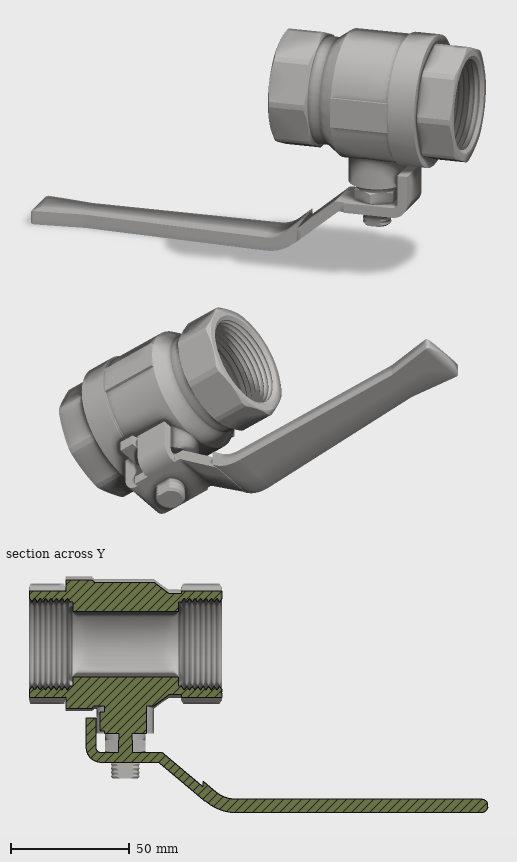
import cadquery as cq
import math


LEFT_END = -41.0
LEFT_NUT_END = -23.5
CONE_START = -18.4
BARREL_START = -12.1
COLLAR_START = 14.0
COLLAR_END = 25.4
RIGHT_END = 40.8
NECK_RADIUS = 23.0
BARREL_RADIUS = 27.5
COLLAR_RADIUS = 28.5
LIP_WIDTH = 0.7
LIP_RADIUS = 28.0
PAD_REACH = 28.0
PAD_HEIGHT = 13.0

OCTAGON_SIDES = 8
OCTAGON_FLATS = 48.0
OCTAGON_CORNER_RADIUS = 25.5
OCTAGON_FACE_RADIUS = 23.7
LONG_CHAMFER = 1.1
SHORT_CHAMFER = 0.5

PORT_RADIUS = 16.0
PIPE_MINOR_RADIUS = 19.475
PIPE_MAJOR_RADIUS = 20.955
PIPE_PITCH = 2.309
PIPE_THREAD_TURNS = 8

BOSS_RADIUS = 12.1
BOSS_BOTTOM = -38.0
GLAND_RADIUS = 8.5
NUT_TOP = -40.8
NUT_SIDES = 6
NUT_FLATS = 17.0
NUT_CORNER_CHAMFER = 0.6
STEM_RADIUS = 6.1
STEM_ROOT_RADIUS = 5.7
STEM_PITCH = 1.75
STEM_FLATS = 9.8
STEM_BOTTOM = -57.1
STEM_TIP_CHAMFER = 0.9

PLATE_TOP = -45.9
PLATE_THICKNESS = 4.3
PLATE_START = -11.5
PLATE_FRONT = -10.9
PLATE_BACK = 11.2
TAB_TOP = -31.3
BEND_INNER_RADIUS = 2.2
END_TAB_OUTER = 16.8
END_TAB_BACK = 9.5
SIDE_TAB_OUTER = 17.9
SIDE_TAB_START = -11.0
SIDE_TAB_END = 3.5
ARM_ANGLE = 40.0
ARM_TOP_START = -15.6
ARM_ROOT_FRONT = -10.0
ARM_FRONT = -8.6
ARM_BACK = 10.7

LUG_START = 4.5
LUG_END = 11.0
LUG_REACH = 20.1
LUG_BOTTOM = -36.9
LUG_TIP_TOP = -31.9
LUG_ROOT = 8.0
LUG_ROOT_TOP = -28.6

GRIP_TIP = -153.68
GRIP_BOTTOM = -71.5
GRIP_THICKNESS = 5.9
GRIP_BEND_START = -46.8
GRIP_BEND_RADIUS = 13.4
GRIP_END = -32.7
GRIP_BACK = 12.2
GRIP_WAIST_BACK_X = -130.2
GRIP_WAIST_FRONT_X = -128.4
GRIP_WAIST_FRONT = -3.5
GRIP_END_FRONT = -9.6
FLARE_X = -152.2
FLARE_BACK = 15.8
FLARE_FRONT = -5.8
FLARE_CORNER_RADIUS = 1.3

PLATE_BOTTOM = PLATE_TOP - PLATE_THICKNESS
GRIP_TOP = GRIP_BOTTOM + GRIP_THICKNESS
OVERLAP = 1.0


def revolve_about_x(points):
    """Solid of revolution about X from (x, radius) points."""
    return cq.Workplane("XY").polyline(points).close().revolve(360, (0, 0, 0), (1, 0, 0))


def cylinder_down(radius, top, bottom):
    return cq.Workplane("XY", origin=(0, 0, bottom)).circle(radius).extrude(top - bottom)


def octagon_end(start, end, start_chamfer, end_chamfer):
    """Octagonal wrench end with its corners turned round and both faces chamfered."""
    circumscribed = OCTAGON_FLATS / math.cos(math.pi / OCTAGON_SIDES)
    octagon = (
        cq.Workplane("YZ", origin=(start, 0, 0))
        .polygon(OCTAGON_SIDES, circumscribed)
        .extrude(end - start)
    )
    turned = revolve_about_x([
        (start, 0),
        (start, OCTAGON_FACE_RADIUS),
        (start + start_chamfer, OCTAGON_CORNER_RADIUS),
        (end - end_chamfer, OCTAGON_CORNER_RADIUS),
        (end, OCTAGON_FACE_RADIUS),
        (end, 0),
    ])
    return octagon.intersect(turned)


def turned_body():
    """Solid neck, cone, barrel, lip and collar between the two wrench ends."""
    lip_start = COLLAR_START - LIP_WIDTH
    return revolve_about_x([
        (LEFT_NUT_END - OVERLAP, 0),
        (LEFT_NUT_END - OVERLAP, NECK_RADIUS),
        (CONE_START, NECK_RADIUS),
        (BARREL_START, BARREL_RADIUS),
        (lip_start, BARREL_RADIUS),
        (lip_start, LIP_RADIUS),
        (COLLAR_START, LIP_RADIUS),
        (COLLAR_START, COLLAR_RADIUS),
        (COLLAR_END, COLLAR_RADIUS),
        (COLLAR_END, 0),
    ])


def marking_pads():
    """Flat marking pads on both sides of the barrel."""
    length = COLLAR_START - LIP_WIDTH - BARREL_START
    return cq.Workplane("XY").box(length, 2 * PAD_REACH, PAD_HEIGHT).translate(
        (BARREL_START + length / 2, 0, 0)
    )


def threaded_port(face, inward):
    """Cutter for one threaded port; inward is the X direction into the body."""
    points = [(face, 0), (face, PIPE_MAJOR_RADIUS)]
    for turn in range(PIPE_THREAD_TURNS):
        crest = face + inward * (turn + 0.5) * PIPE_PITCH
        root = face + inward * (turn + 1) * PIPE_PITCH
        points.append((crest, PIPE_MINOR_RADIUS))
        if turn < PIPE_THREAD_TURNS - 1:
            points.append((root, PIPE_MAJOR_RADIUS))
    bottom = face + inward * PIPE_THREAD_TURNS * PIPE_PITCH
    points.append((bottom, PIPE_MINOR_RADIUS))
    points.append((bottom, 0))
    return revolve_about_x(points)


def valve_body():
    body = turned_body().union(marking_pads())
    body = body.union(octagon_end(LEFT_END, LEFT_NUT_END, LONG_CHAMFER, LONG_CHAMFER))
    body = body.union(octagon_end(COLLAR_END, RIGHT_END, SHORT_CHAMFER, SHORT_CHAMFER))
    body = body.union(cylinder_down(BOSS_RADIUS, 0, BOSS_BOTTOM)).union(stop_lug())
    port = cq.Workplane("YZ", origin=(LEFT_END, 0, 0)).circle(PORT_RADIUS).extrude(RIGHT_END - LEFT_END)
    body = body.cut(port)
    return body.cut(threaded_port(LEFT_END, 1)).cut(threaded_port(RIGHT_END, -1))


def stop_lug():
    return (
        cq.Workplane("YZ", origin=(LUG_START, 0, 0))
        .polyline([
            (LUG_ROOT, LUG_BOTTOM),
            (LUG_REACH, LUG_BOTTOM),
            (LUG_REACH, LUG_TIP_TOP),
            (LUG_ROOT, LUG_ROOT_TOP),
        ])
        .close()
        .extrude(LUG_END - LUG_START)
    )


def gland_nut():
    """Hexagon nut with a corner on the -Y side and turned corners."""
    corner_radius = NUT_FLATS / 2 / math.cos(math.pi / NUT_SIDES)
    height = NUT_TOP - PLATE_TOP
    hexagon = (
        cq.Workplane("XY", origin=(0, 0, PLATE_TOP))
        .transformed(rotate=(0, 0, 180 / NUT_SIDES))
        .polygon(NUT_SIDES, 2 * corner_radius)
        .extrude(height)
    )
    turned = cylinder_down(corner_radius, NUT_TOP, PLATE_TOP).edges().chamfer(
        NUT_CORNER_CHAMFER, 2 * NUT_CORNER_CHAMFER
    )
    return hexagon.intersect(turned)


def stem():
    """Threaded stem with two flats."""
    tip_radius = STEM_RADIUS - STEM_TIP_CHAMFER
    points = [(0, STEM_BOTTOM), (tip_radius, STEM_BOTTOM)]
    crest = STEM_BOTTOM + STEM_TIP_CHAMFER
    while crest < PLATE_BOTTOM:
        points.append((STEM_RADIUS, crest))
        points.append((STEM_ROOT_RADIUS, crest + STEM_PITCH / 2))
        crest += STEM_PITCH
    points.append((STEM_ROOT_RADIUS, BOSS_BOTTOM))
    points.append((0, BOSS_BOTTOM))
    threaded = cq.Workplane("XZ").polyline(points).close().revolve(360, (0, 0, 0), (0, 1, 0))
    flats = cq.Workplane("XY").box(4 * STEM_RADIUS, STEM_FLATS, -2 * STEM_BOTTOM)
    return threaded.intersect(flats)


def turned_up_strip(workplane, start, outer, width):
    """Flat strip from start that turns up into a tab whose outside face lies at outer."""
    outer_radius = BEND_INNER_RADIUS + PLATE_THICKNESS
    inner = outer - PLATE_THICKNESS
    lean = math.sqrt(0.5)
    center_along = outer - outer_radius
    center_z = PLATE_BOTTOM + outer_radius
    return (
        workplane
        .moveTo(start, PLATE_BOTTOM)
        .lineTo(center_along, PLATE_BOTTOM)
        .threePointArc(
            (center_along + lean * outer_radius, center_z - lean * outer_radius),
            (outer, center_z),
        )
        .lineTo(outer, TAB_TOP)
        .lineTo(inner, TAB_TOP)
        .lineTo(inner, center_z)
        .threePointArc(
            (center_along + lean * BEND_INNER_RADIUS, center_z - lean * BEND_INNER_RADIUS),
            (center_along, PLATE_TOP),
        )
        .lineTo(start, PLATE_TOP)
        .close()
        .extrude(width)
    )


def lever_plate():
    """Plate clamped under the nut, with the end tab (+X) and the side tab (+Y)."""
    plate_end = END_TAB_OUTER - PLATE_THICKNESS - BEND_INNER_RADIUS
    plate = cq.Workplane("XY", origin=(0, 0, PLATE_BOTTOM)).moveTo(PLATE_START, PLATE_FRONT)
    plate = (
        plate.lineTo(plate_end, PLATE_FRONT)
        .lineTo(plate_end, PLATE_BACK)
        .lineTo(PLATE_START, PLATE_BACK)
        .close()
        .extrude(PLATE_THICKNESS)
    )
    end_tab = turned_up_strip(
        cq.Workplane("XZ", origin=(0, END_TAB_BACK, 0)), 0, END_TAB_OUTER, END_TAB_BACK - PLATE_FRONT
    )
    side_tab = turned_up_strip(
        cq.Workplane("YZ", origin=(SIDE_TAB_START, 0, 0)), 0, SIDE_TAB_OUTER, SIDE_TAB_END - SIDE_TAB_START
    )
    return plate.union(end_tab).union(side_tab)


def lever_arm():
    """Sloping arm from the plate down into the grip, tapering in plan."""
    slope = math.tan(math.radians(ARM_ANGLE))
    lower_start = ARM_TOP_START + PLATE_THICKNESS * math.tan(math.radians(ARM_ANGLE / 2))
    arm_end = GRIP_END - OVERLAP
    profile = (
        cq.Workplane("XZ", origin=(0, PLATE_BACK, 0))
        .polyline([
            (PLATE_START, PLATE_TOP),
            (ARM_TOP_START, PLATE_TOP),
            (arm_end, PLATE_TOP - slope * (ARM_TOP_START - arm_end)),
            (arm_end, PLATE_BOTTOM - slope * (lower_start - arm_end)),
            (lower_start, PLATE_BOTTOM),
            (PLATE_START, PLATE_BOTTOM),
        ])
        .close()
        .extrude(PLATE_BACK - PLATE_FRONT)
    )
    plan = (
        cq.Workplane("XY", origin=(0, 0, GRIP_BOTTOM))
        .polyline([
            (PLATE_START, ARM_ROOT_FRONT),
            (PLATE_START, PLATE_BACK),
            (arm_end, ARM_BACK),
            (arm_end, ARM_FRONT),
        ])
        .close()
        .extrude(-GRIP_BOTTOM)
    )
    return profile.intersect(plan)


def grip():
    """Thick grip: round-nosed side profile cut to a plan that flares towards the tip."""
    angle = math.radians(ARM_ANGLE)
    slope = math.tan(angle)
    center_z = GRIP_TOP + GRIP_BEND_RADIUS
    nose = GRIP_THICKNESS / 2

    def bend_point(radius, turn):
        return (GRIP_BEND_START + radius * math.sin(turn), center_z - radius * math.cos(turn))

    lower_radius = GRIP_BEND_RADIUS + GRIP_THICKNESS
    upper_end = bend_point(GRIP_BEND_RADIUS, angle)
    lower_end = bend_point(lower_radius, angle)
    profile = (
        cq.Workplane("XZ", origin=(0, FLARE_BACK, 0))
        .moveTo(GRIP_TIP + nose, GRIP_BOTTOM)
        .lineTo(GRIP_BEND_START, GRIP_BOTTOM)
        .threePointArc(bend_point(lower_radius, angle / 2), lower_end)
        .lineTo(GRIP_END, lower_end[1] + slope * (GRIP_END - lower_end[0]))
        .lineTo(GRIP_END, upper_end[1] + slope * (GRIP_END - upper_end[0]))
        .lineTo(*upper_end)
        .threePointArc(bend_point(GRIP_BEND_RADIUS, angle / 2), (GRIP_BEND_START, GRIP_TOP))
        .lineTo(GRIP_TIP + nose, GRIP_TOP)
        .threePointArc((GRIP_TIP, GRIP_BOTTOM + nose), (GRIP_TIP + nose, GRIP_BOTTOM))
        .close()
        .extrude(FLARE_BACK - GRIP_END_FRONT)
    )
    plan = (
        cq.Workplane("XY", origin=(0, 0, GRIP_BOTTOM))
        .moveTo(FLARE_X, FLARE_FRONT)
        .lineTo(GRIP_WAIST_FRONT_X, GRIP_WAIST_FRONT)
        .lineTo(GRIP_END, GRIP_END_FRONT)
        .lineTo(GRIP_END, GRIP_BACK)
        .lineTo(GRIP_WAIST_BACK_X, GRIP_BACK)
        .lineTo(FLARE_X, FLARE_BACK)
        .threePointArc((GRIP_TIP, (FLARE_BACK + FLARE_FRONT) / 2), (FLARE_X, FLARE_FRONT))
        .close()
        .extrude(-GRIP_BOTTOM)
        .edges("|Z")
        .edges("<X")
        .fillet(FLARE_CORNER_RADIUS)
    )
    return profile.intersect(plan)


result = (
    valve_body()
    .union(cylinder_down(GLAND_RADIUS, BOSS_BOTTOM, NUT_TOP))
    .union(gland_nut())
    .union(stem())
    .union(lever_plate())
    .union(lever_arm())
    .union(grip())
)